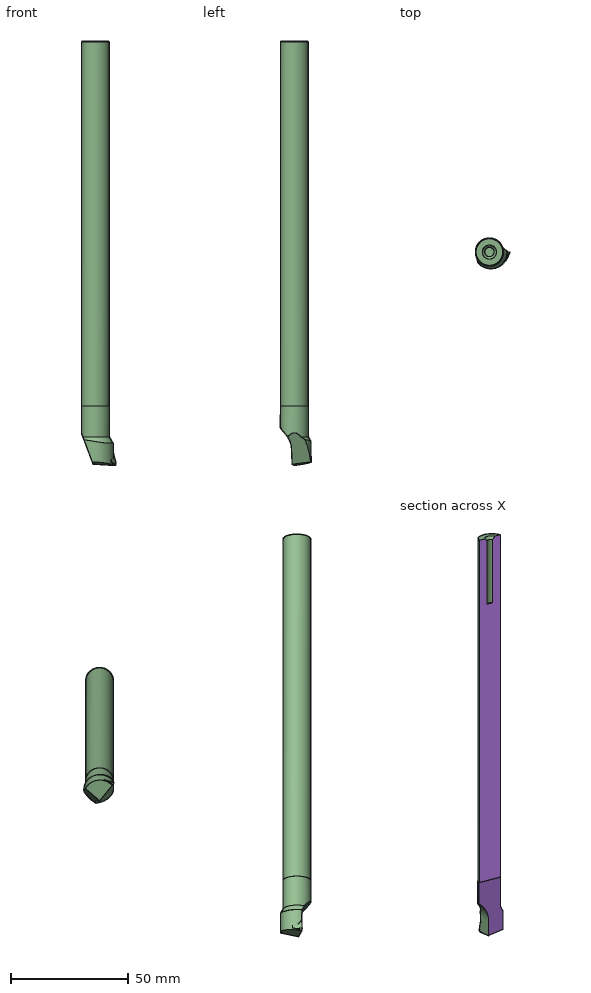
import math

import cadquery as cq


total_length = 181.25
shank_diameter = 11.98
bore_diameter = 4.0
bore_depth = 30.0
top_chamfer = 0.3
countersink_diameter = 6.0
countersink_angle = 75.0

head_diameter = 12.09
joint_z = 25.5
neck_z = 12.3
shoulder_z = 9.7
shoulder_radius = 7.5
block_radius = 7.195
block_offset = 0.62

rake_tilt = 6.0
pocket_run_out_angle = 45.0
pocket_run_out_z = 11.1
pocket_radius = 9.5
flank_angle = 20.5
flank_top_z = 14.0
end_tilt = 4.4
end_relief = 7.5

overall_width = 14.94
tip_x = overall_width - head_diameter / 2
tip_depth = 4.0
tip_height = 5.5
tip_width = 5.0
tip_lead_angle = 14.0
tip_relief = 18.0
tip_nose_radius = 0.8

cutter_size = 60.0


def make_shank():
    """Round bar with a chamfered top edge and a countersunk bore from the top."""
    blank = cq.Workplane("XY").workplane(offset=joint_z).circle(shank_diameter / 2)
    shank = blank.extrude(total_length - joint_z)
    return shank.faces(">Z").chamfer(top_chamfer).faces(">Z").workplane().cskHole(
        bore_diameter, countersink_diameter, countersink_angle, bore_depth
    )


def nose_block(height):
    """Round block that stands on the XY plane, offset toward the tip."""
    return cq.Workplane("XY").center(block_offset, 0).circle(block_radius).extrude(height)


def head_blank():
    """Round neck, a sideways-shifted nose block, and a cone that blends the two."""
    neck = cq.Workplane("XY").workplane(offset=neck_z).circle(head_diameter / 2).extrude(joint_z - neck_z)
    shoulder = (
        cq.Workplane("XY").workplane(offset=shoulder_z).circle(shoulder_radius)
        .workplane(offset=neck_z - shoulder_z).circle(head_diameter / 2)
        .loft(ruled=True)
    )
    return neck.union(shoulder.intersect(nose_block(neck_z))).union(nose_block(shoulder_z))


def cutting_tip():
    """Small rounded nose that overhangs the block, with relief all round below the rake face."""
    tilt = math.radians(rake_tilt)
    lead = math.radians(tip_lead_angle)
    end = math.radians(end_tilt)
    middle = (lead - end - math.pi / 2) / 2

    def on_nose(angle):
        return (tip_nose_radius * (math.cos(angle) - 1), tip_nose_radius * (math.sin(angle) + 1))

    lead_start = on_nose(lead)
    end_start = on_nose(-math.pi / 2 - end)
    lead_shift = (tip_height - lead_start[1]) * math.tan(lead)
    end_rise = (end_start[0] + tip_width) * math.tan(end)
    rake_plane = cq.Plane(
        origin=(tip_x, 0, 0),
        xDir=(math.cos(tilt), -math.sin(tilt), 0),
        normal=(-math.sin(tilt), -math.cos(tilt), 0),
    )
    return (
        cq.Workplane(rake_plane)
        .moveTo(*end_start)
        .threePointArc(on_nose(middle), lead_start)
        .lineTo(lead_start[0] - lead_shift, tip_height)
        .lineTo(-tip_width, tip_height)
        .lineTo(-tip_width, end_start[1] + end_rise)
        .close()
        .extrude(tip_depth, taper=tip_relief)
    )


def chip_pocket():
    """Rake face that curves up into a sloping run-out, tilted about the tip."""
    angle = math.radians(pocket_run_out_angle)
    tangent = pocket_radius * math.tan(angle / 2)
    arc_end = (tangent * math.sin(angle), pocket_run_out_z + tangent * math.cos(angle))
    arc_start_z = pocket_run_out_z - tangent
    arc_mid = (
        pocket_radius * (1 - math.cos(angle / 2)),
        arc_start_z + pocket_radius * math.sin(angle / 2),
    )
    far_y = cutter_size * math.sin(angle)
    far_z = pocket_run_out_z + cutter_size * math.cos(angle)
    pocket = (
        cq.Workplane("YZ", origin=(-cutter_size / 2, 0, 0))
        .moveTo(0, -cutter_size)
        .lineTo(0, arc_start_z)
        .threePointArc(arc_mid, arc_end)
        .lineTo(far_y, far_z)
        .lineTo(far_y, -cutter_size)
        .close()
        .extrude(cutter_size)
    )
    return pocket.translate((tip_x, 0, 0)).rotate((tip_x, 0, 0), (tip_x, 0, 1), -rake_tilt)


def cutter_block():
    return cq.Workplane("XY").box(cutter_size, cutter_size, cutter_size)


def flank_cutter():
    """Half-space on the -X side that leaves a flat leaning toward the tip."""
    block = cutter_block().translate((-cutter_size / 2, 0, 0))
    return block.rotate((0, 0, 0), (0, 1, 0), -flank_angle).translate((-head_diameter / 2, 0, flank_top_z))


def end_cutter():
    """Half-space below the end face, which rises away from the tip in both directions."""
    block = cutter_block().translate((0, 0, -cutter_size / 2))
    block = block.rotate((0, 0, 0), (1, 0, 0), -end_relief).rotate((0, 0, 0), (0, 1, 0), end_tilt)
    return block.translate((tip_x - tip_nose_radius, 0, 0))


def make_head():
    """Head blank with its tip, cut by the flank, the end face and the chip pocket."""
    head = head_blank().cut(flank_cutter())
    head = head.union(cutting_tip())
    return head.cut(end_cutter()).cut(chip_pocket())


shank = make_shank()
head = make_head()

result = cq.Compound.makeCompound([shank.solids().val(), head.solids().val()])